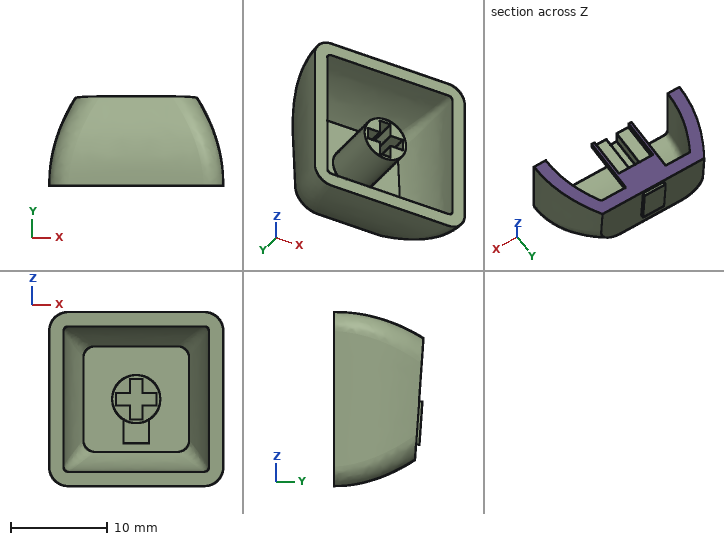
import cadquery as cq
import math

TILT = 4.0

RIM_SIZE = 18.1
RIM_CORNER = 2.0
MIDDLE_SIZE = 16.78
MIDDLE_CORNER = 2.3
TOP_SIZE = 12.66
TOP_CORNER = 2.65
OVERALL_DEPTH = 9.31
TOP_DEPTH = OVERALL_DEPTH - TOP_SIZE / 2 * math.sin(math.radians(TILT))

WALL = 1.5
MOUTH_SIZE = RIM_SIZE - 2 * WALL
MOUTH_CORNER = 0.5
CAVITY_MIDDLE_SIZE = 14.1
CAVITY_MIDDLE_CORNER = 0.75
FLOOR_SIZE = 10.98
FLOOR_CORNER = 1.2
FLOOR_DEPTH = TOP_DEPTH - WALL

STEM_DIAMETER = 5.0
STEM_START = 0.92
CROSS_LENGTH = 4.2
CROSS_WIDTH = 1.28
CROSS_DEPTH = 4.6

LEGEND_WIDTH = 2.6
LEGEND_HEIGHT = 4.5
LEGEND_CENTER = -2.48
LEGEND_PROUD_OUTSIDE = 0.35
LEGEND_PROUD_INSIDE = 0.6


def tilted_plane(depth, angle):
    """Plane facing -Y at the given depth, leaning so that its +Z side is further along +Y."""
    lean = math.radians(angle)
    return cq.Plane(
        origin=(0, depth, 0),
        xDir=(1, 0, 0),
        normal=(0, -math.cos(lean), math.sin(lean)),
    )


def rounded_square(size, corner):
    return cq.Sketch().rect(size, size).vertices().fillet(corner)


def domed_block(start, middle, end, depth):
    """Smooth loft through three (size, corner) squares whose tilt grows with depth."""
    sections = []
    for (size, corner), share in zip((start, middle, end), (0, 0.5, 1)):
        place = cq.Location(tilted_plane(share * depth, share * TILT))
        sections.append(rounded_square(size, corner).moved(place))
    return cq.Workplane("XY").placeSketch(*sections).loft()


def make_legend():
    top_plane = tilted_plane(TOP_DEPTH, TILT)
    length = WALL + LEGEND_PROUD_OUTSIDE + LEGEND_PROUD_INSIDE
    return (
        cq.Workplane(top_plane)
        .workplane(offset=-LEGEND_PROUD_OUTSIDE)
        .center(0, LEGEND_CENTER)
        .rect(LEGEND_WIDTH, LEGEND_HEIGHT)
        .extrude(length)
    )


def make_stem():
    stem = (
        cq.Workplane("XZ", origin=(0, STEM_START, 0))
        .circle(STEM_DIAMETER / 2)
        .extrude(-(TOP_DEPTH - WALL / 2 - STEM_START))
    )
    for width, height in ((CROSS_LENGTH, CROSS_WIDTH), (CROSS_WIDTH, CROSS_LENGTH)):
        slot = cq.Workplane("XZ", origin=(0, STEM_START, 0)).rect(width, height).extrude(-CROSS_DEPTH)
        stem = stem.cut(slot)
    return stem


def make_cap(legend):
    skin = domed_block(
        (RIM_SIZE, RIM_CORNER), (MIDDLE_SIZE, MIDDLE_CORNER), (TOP_SIZE, TOP_CORNER), TOP_DEPTH
    )
    cavity = domed_block(
        (MOUTH_SIZE, MOUTH_CORNER),
        (CAVITY_MIDDLE_SIZE, CAVITY_MIDDLE_CORNER),
        (FLOOR_SIZE, FLOOR_CORNER),
        FLOOR_DEPTH,
    )
    return skin.cut(cavity).union(make_stem()).cut(legend)


legend = make_legend()
cap = make_cap(legend)
result = cq.Compound.makeCompound([cap.solids().val(), legend.val()])